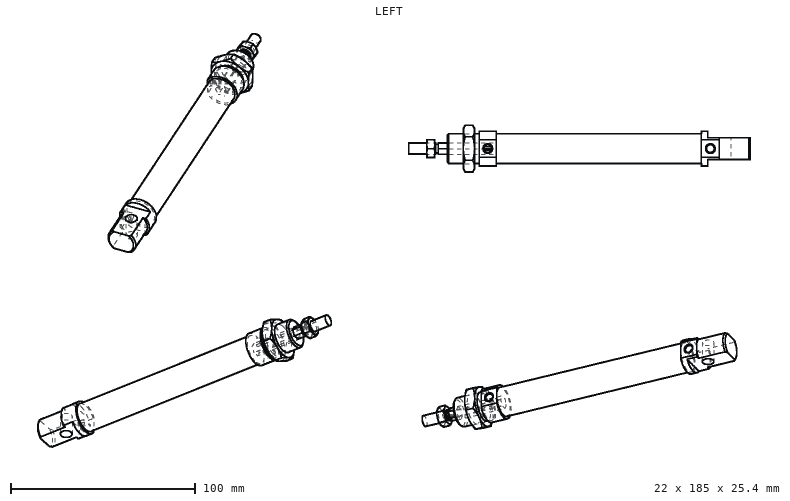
import cadquery as cq
import math


rear_collar_flat_start = 16.8
rear_flats_end = 23.0
rear_collar_end = 26.5
front_collar_start = 137.5
front_collar_end = 146.9
mounting_nut_start = 149.3
nose_end = 164.1
stem_end = 169.0
neck_end = 170.4
lock_nut_start = 170.8
rod_tip = 185.0

barrel_radius = 8.1
collar_radius = 9.5
port_flat_x = -barrel_radius
rear_flat_half_height = 6.0
end_chamfer = 1.0
pivot_hole_diameter = 6.3
pivot_hole_y = 13.9
port_diameter = 4.3
port_chamfer = 0.46
port_depth = 5.2

thread_diameter = 6.1
neck_diameter = 5.0
stem_across_flats = 6.1
stem_start = front_collar_start

mounting_nut_across_flats = 22.0
mounting_nut_thickness = 6.1
lock_nut_across_flats = 9.8
lock_nut_thickness = 4.5
nut_chamfer_angle = 30.0


def disc(radius, start, end):
    """Round bar along +Y between two stations."""
    return cq.Workplane("XZ", origin=(0, start, 0)).circle(radius).extrude(start - end)


def hexagon(across_flats, start, end, turn=0.0):
    """Hexagonal bar along +Y with corners on X, turned about Y by `turn` degrees."""
    corner_diameter = across_flats / math.cos(math.pi / 6)
    bar = cq.Workplane("XZ", origin=(0, start, 0)).polygon(6, corner_diameter).extrude(start - end)
    return bar.rotate((0, 0, 0), (0, 1, 0), turn)


def make_nut(across_flats, start, thickness, bore_diameter, turn=0.0):
    """Hexagonal nut with its corners turned down to a cone at both faces."""
    end = start + thickness
    face_radius = across_flats / 2
    corner_radius = face_radius / math.cos(math.pi / 6)
    cone_length = (corner_radius - face_radius) * math.tan(math.radians(nut_chamfer_angle))
    turned_blank = (
        cq.Workplane("XY")
        .moveTo(0, start)
        .lineTo(face_radius, start)
        .lineTo(corner_radius, start + cone_length)
        .lineTo(corner_radius, end - cone_length)
        .lineTo(face_radius, end)
        .lineTo(0, end)
        .close()
        .revolve(360, (0, 0, 0), (0, 1, 0))
    )
    nut = hexagon(across_flats, start, end, turn).intersect(turned_blank)
    return nut.cut(disc(bore_diameter / 2, start, end))


def make_collar(start, end):
    """Round collar with one flat side for the port."""
    size = 2 * collar_radius
    keep = cq.Workplane("XY").box(size, end - start, size, centered=(False, False, True))
    return disc(collar_radius, start, end).intersect(keep.translate((port_flat_x, start, 0)))


def make_port(y):
    """Cutter for a blind port with a chamfered mouth, going inwards from the flat side of a collar."""
    bore_radius = port_diameter / 2
    mouth = cq.Solid.makeCone(
        bore_radius + port_chamfer, bore_radius, port_chamfer, cq.Vector(port_flat_x, y, 0), cq.Vector(1, 0, 0)
    )
    bore = cq.Workplane("YZ", origin=(port_flat_x, y, 0)).circle(bore_radius).extrude(port_depth)
    return bore.union(cq.Workplane(obj=mouth))


def make_housing():
    body = disc(barrel_radius, 0, nose_end).faces("<Y or >Y").chamfer(end_chamfer)
    body = body.union(make_collar(rear_collar_flat_start, rear_collar_end))
    body = body.union(make_collar(front_collar_start, front_collar_end))

    flat_cutter = cq.Workplane("XY").box(
        2 * collar_radius, rear_flats_end, collar_radius, centered=(True, False, False)
    )
    body = body.cut(flat_cutter.translate((0, 0, rear_flat_half_height)))
    body = body.cut(flat_cutter.translate((0, 0, -rear_flat_half_height - collar_radius)))

    pivot_hole = (
        cq.Workplane("XY", origin=(0, pivot_hole_y, 0))
        .circle(pivot_hole_diameter / 2)
        .extrude(rear_flat_half_height, both=True)
    )
    body = body.cut(pivot_hole)

    rear_port_y = (rear_collar_flat_start + rear_collar_end) / 2
    front_port_y = (front_collar_start + front_collar_end) / 2
    for port_y in (rear_port_y, front_port_y):
        body = body.cut(make_port(port_y))

    return body.cut(hexagon(stem_across_flats, stem_start, nose_end))


def make_rod():
    stem = hexagon(stem_across_flats, stem_start, stem_end)
    neck = disc(neck_diameter / 2, stem_end, neck_end)
    thread = disc(thread_diameter / 2, neck_end, rod_tip)
    return stem.union(neck).union(thread)


housing = make_housing()
rod = make_rod()
mounting_nut = make_nut(
    mounting_nut_across_flats, mounting_nut_start, mounting_nut_thickness, 2 * barrel_radius, turn=30
)
lock_nut = make_nut(lock_nut_across_flats, lock_nut_start, lock_nut_thickness, thread_diameter)

result = cq.Compound.makeCompound([housing.val(), rod.val(), mounting_nut.val(), lock_nut.val()])